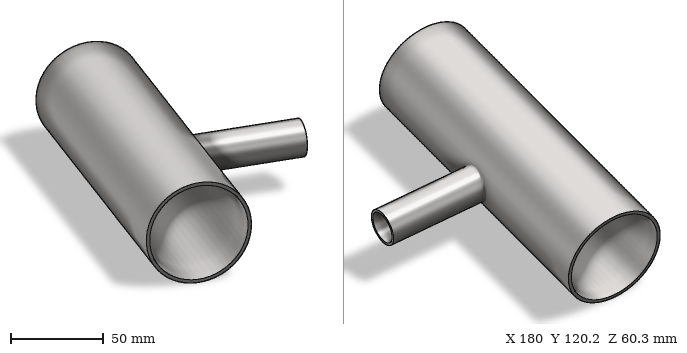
import cadquery as cq

pipe_length = 180.0
pipe_diameter = 60.3
pipe_bore = 56.3

branch_diameter = 21.2
branch_bore = 18.2
overall_width = 120.2
branch_reach = overall_width - pipe_diameter / 2

seam_fillet = 1.0


def rod_along_x(diameter):
    """Solid cylinder as long as the main pipe."""
    return cq.Workplane("YZ").circle(diameter / 2).extrude(pipe_length / 2, both=True)


def rod_along_y(diameter):
    """Solid cylinder from the main pipe axis to the branch end."""
    return cq.Workplane("XZ").circle(diameter / 2).extrude(-branch_reach)


outer_body = rod_along_x(pipe_diameter).union(rod_along_y(branch_diameter))
outer_body = outer_body.edges("%BSPLINE").fillet(seam_fillet)

result = outer_body.cut(rod_along_x(pipe_bore)).cut(rod_along_y(branch_bore))